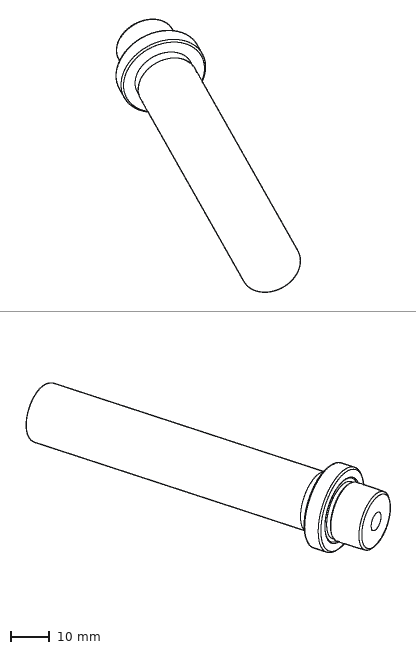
import cadquery as cq
import math

length = 100.0
shaft_radius = 8.0
flange_radius = 11.5
flange_start = 10.0
flange_width = 5.0
flange_end = flange_start + flange_width
flange_chamfer = 0.5

entry_face_radius = 7.3
entry_taper_radius = 7.9
entry_chamfer_length = 0.5
entry_taper_end = 2.9

spigot_groove_radius = 7.7
spigot_groove_start = 8.8
spigot_groove_ramp = 0.3
shaft_groove_bottom_x = 16.3
shaft_groove_end = 17.8
shaft_groove_depth = 0.5
face_relief_floor_radius = 8.6
face_relief_radius = 8.9
face_relief_depth = 0.2

end_fillet = 1.5
hole_radius = 2.5
hole_depth = 13.0
drill_tip_angle = 118.0


def shaft_groove_radius_at(x):
    """Return the radius of the concave shaft groove, a circular arc, at axial position x."""
    half_width = shaft_groove_end - shaft_groove_bottom_x
    arc_radius = (half_width**2 + shaft_groove_depth**2) / (2 * shaft_groove_depth)
    offset = x - shaft_groove_bottom_x
    rise = arc_radius - math.sqrt(arc_radius**2 - offset**2)
    return shaft_radius - shaft_groove_depth + rise


def make_pin_body():
    """Revolve the half profile, drawn as (axial, radial) points, about X."""
    fillet_offset = end_fillet * math.sqrt(0.5)
    fillet_middle = (
        length - end_fillet + fillet_offset,
        shaft_radius - end_fillet + fillet_offset,
    )
    groove_bottom = (shaft_groove_bottom_x, shaft_radius - shaft_groove_depth)
    profile = (
        cq.Workplane("XY")
        .lineTo(0, entry_face_radius)
        .lineTo(entry_chamfer_length, entry_taper_radius)
        .lineTo(entry_taper_end, shaft_radius)
        .lineTo(spigot_groove_start, shaft_radius)
        .lineTo(spigot_groove_start + spigot_groove_ramp, spigot_groove_radius)
        .lineTo(flange_start + face_relief_depth, spigot_groove_radius)
        .lineTo(flange_start + face_relief_depth, face_relief_floor_radius)
        .lineTo(flange_start, face_relief_radius)
        .lineTo(flange_start, flange_radius - flange_chamfer)
        .lineTo(flange_start + flange_chamfer, flange_radius)
        .lineTo(flange_end - flange_chamfer, flange_radius)
        .lineTo(flange_end, flange_radius - flange_chamfer)
        .lineTo(flange_end, shaft_groove_radius_at(flange_end))
        .threePointArc(groove_bottom, (shaft_groove_end, shaft_radius))
        .lineTo(length - end_fillet, shaft_radius)
        .threePointArc(fillet_middle, (length, shaft_radius - end_fillet))
        .lineTo(length, 0)
        .close()
    )
    return profile.revolve(360, (0, 0, 0), (1, 0, 0))


def make_blind_hole():
    """Revolve a drilled hole with a conical bottom about X."""
    tip_length = hole_radius / math.tan(math.radians(drill_tip_angle / 2))
    profile = (
        cq.Workplane("XY")
        .lineTo(0, hole_radius)
        .lineTo(hole_depth, hole_radius)
        .lineTo(hole_depth + tip_length, 0)
        .close()
    )
    return profile.revolve(360, (0, 0, 0), (1, 0, 0))


result = make_pin_body().cut(make_blind_hole())